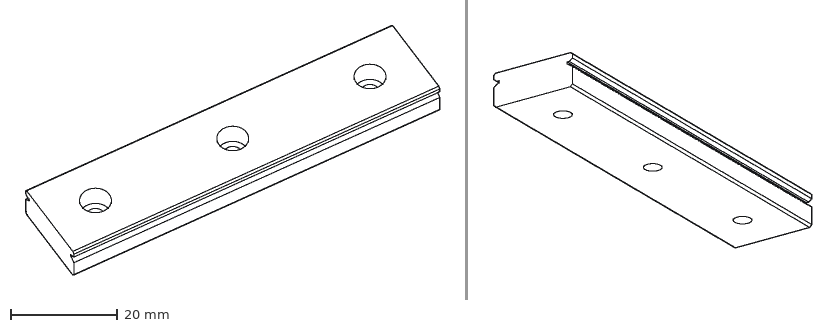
import cadquery as cq

width = 18.0
length = 80.0
height = 7.0

top_chamfer = 0.4
bottom_chamfer = 0.5
groove_center_z = 5.0
groove_mouth = 1.7
groove_depth = 1.2
relief_width = 0.6
flank_depth = 0.7
relief_floor_rise = 0.2

hole_count = 3
hole_pitch = 30.0
hole_diameter = 3.5
counterbore_diameter = 6.0
counterbore_depth = 4.5


def rail_body():
    """Rectangular bar along Y with its four long edges chamfered."""
    bar = cq.Workplane("XY").box(width, length, height, centered=(True, True, False))
    bar = bar.edges("|Y and <Z").chamfer(bottom_chamfer)
    return bar.edges("|Y and >Z").chamfer(top_chamfer)


def side_groove(side):
    """Ball groove with sloping flanks and a relief slot whose lower wall rises inward; side is -1 or 1."""
    face_x = side * width / 2
    flank_x = face_x - side * flank_depth
    floor_x = face_x - side * groove_depth
    mouth_top = groove_center_z + groove_mouth / 2
    mouth_bottom = groove_center_z - groove_mouth / 2
    relief_top = groove_center_z + relief_width / 2
    relief_bottom = groove_center_z - relief_width / 2
    return (
        cq.Workplane("XZ")
        .moveTo(face_x, mouth_top)
        .lineTo(flank_x, relief_top)
        .lineTo(floor_x, relief_top)
        .lineTo(floor_x, relief_bottom + relief_floor_rise)
        .lineTo(flank_x, relief_bottom)
        .lineTo(face_x, mouth_bottom)
        .close()
        .extrude(length / 2, both=True)
    )


result = rail_body()
for side in (-1, 1):
    result = result.cut(side_groove(side))

result = (
    result.faces(">Z")
    .workplane(origin=(0, 0, height))
    .rarray(0.8, hole_pitch, 1, hole_count)
    .cboreHole(hole_diameter, counterbore_diameter, counterbore_depth)
)